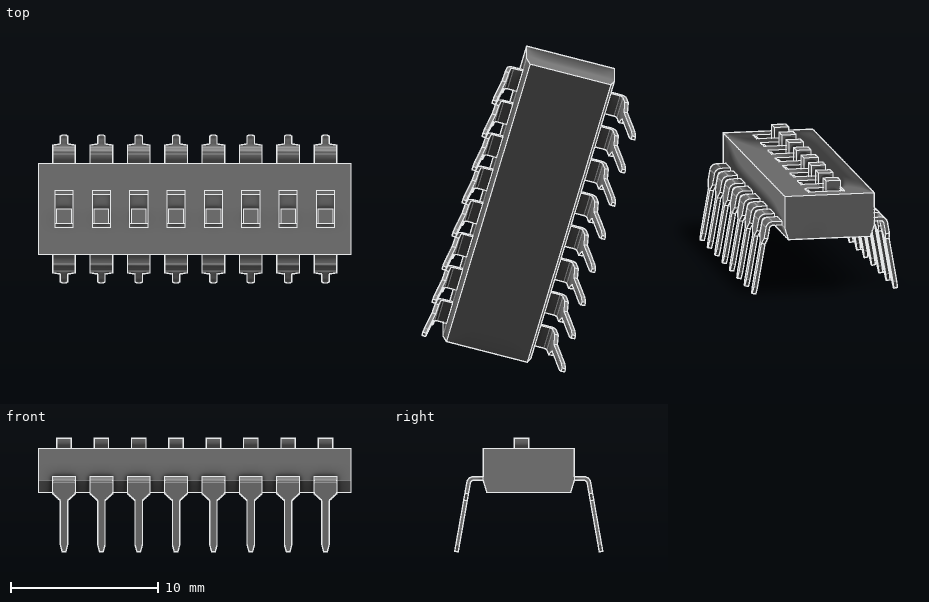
import cadquery as cq
import math


switch_count = 8
pitch = 2.54
body_length = 21.26
body_width = 6.22
body_height = 3.02
taper_height = 0.84
taper_inset = 0.26

slot_length = 2.5
slot_width = 1.24
ledge_length = 0.25
ledge_depth = 0.13
slot_depth = 0.33

knob_size = 1.0
knob_height = 0.7
knob_center_y = -slot_length / 2 + ledge_length + knob_size / 2

overall_height = 7.75
overall_width = 10.09
lead_thickness = 0.26
lead_width = 1.56
pin_width = 0.52
tip_width = 0.25
bend_radius = 0.47
lead_angle = math.radians(10)
shoulder_end = 0.75
neck_start = 1.23
tip_taper_length = 0.5
lead_embed = 0.5

shank_bottom = taper_height
shank_top = shank_bottom + lead_thickness
tip_z = body_height + knob_height - overall_height
bend_end_z = shank_top - bend_radius * (1 - math.sin(lead_angle))
leg_length = (bend_end_z - tip_z - lead_thickness * math.sin(lead_angle)) / math.cos(lead_angle)
bend_end_y = overall_width / 2 - leg_length * math.sin(lead_angle)
bend_center_y = bend_end_y - bend_radius * math.cos(lead_angle)
bend_center_z = shank_top - bend_radius

switch_positions = [(i - (switch_count - 1) / 2) * pitch for i in range(switch_count)]


def make_body():
    """Housing with two long sides that lean inward near the bottom."""
    half_width = body_width / 2
    half_bottom = half_width - taper_inset
    return (
        cq.Workplane("YZ")
        .polyline([
            (-half_bottom, 0),
            (half_bottom, 0),
            (half_width, taper_height),
            (half_width, body_height),
            (-half_width, body_height),
            (-half_width, taper_height),
        ])
        .close()
        .extrude(body_length / 2, both=True)
    )


def box_below(size_x, size_y, height, x, y, top):
    """Box centred at (x, y) that reaches down from z = top."""
    box = cq.Workplane("XY").box(size_x, size_y, height, centered=(True, True, False))
    return box.translate((x, y, top - height))


def make_slot(x):
    """Stepped slot: a shallow ledge at each Y end, deeper between them."""
    deep_length = slot_length - 2 * ledge_length
    shallow = box_below(slot_width, slot_length, ledge_depth, x, 0, body_height)
    deep = box_below(slot_width, deep_length, slot_depth, x, 0, body_height)
    return shallow.union(deep)


def make_knob(x):
    """Square slider knob standing on the slot floor at the -Y ledge."""
    full_height = slot_depth + knob_height
    return box_below(knob_size, knob_size, full_height, x, knob_center_y, body_height + knob_height)


def bend_point(radius, angle):
    """Point (y, z) on the bend; the angle is measured up from +Y."""
    return (
        bend_center_y + radius * math.cos(angle),
        bend_center_z + radius * math.sin(angle),
    )


def make_shank_and_bend():
    """Flat strip leaving the housing toward +Y and curving down into the leg."""
    inner_radius = bend_radius - lead_thickness
    mid_angle = (math.pi / 2 + lead_angle) / 2
    start_y = body_width / 2 - lead_embed
    return (
        cq.Workplane("YZ")
        .moveTo(start_y, shank_top)
        .lineTo(bend_center_y, shank_top)
        .threePointArc(bend_point(bend_radius, mid_angle), bend_point(bend_radius, lead_angle))
        .lineTo(*bend_point(inner_radius, lead_angle))
        .threePointArc(bend_point(inner_radius, mid_angle), (bend_center_y, shank_bottom))
        .lineTo(start_y, shank_bottom)
        .close()
        .extrude(lead_width / 2, both=True)
    )


def make_leg():
    """Leaning leg: wide shoulder, narrow pin and tapered tip."""
    leg_plane = cq.Plane(
        origin=(0, bend_end_y, bend_end_z),
        xDir=(-1, 0, 0),
        normal=(0, math.cos(lead_angle), math.sin(lead_angle)),
    )
    half_outline = [
        (lead_width / 2, 0),
        (lead_width / 2, -shoulder_end),
        (pin_width / 2, -neck_start),
        (pin_width / 2, tip_taper_length - leg_length),
        (tip_width / 2, -leg_length),
    ]
    mirrored_outline = [(-x, y) for x, y in reversed(half_outline)]
    return (
        cq.Workplane(leg_plane)
        .polyline(half_outline + mirrored_outline)
        .close()
        .extrude(-lead_thickness)
    )


def make_lead():
    """Complete lead on the +Y side at x = 0."""
    return make_shank_and_bend().union(make_leg())


result = make_body()
back_lead = make_lead()
front_lead = back_lead.mirror("XZ")
for switch_x in switch_positions:
    result = result.cut(make_slot(switch_x))
    result = result.union(make_knob(switch_x))
    result = result.union(back_lead.translate((switch_x, 0, 0)))
    result = result.union(front_lead.translate((switch_x, 0, 0)))